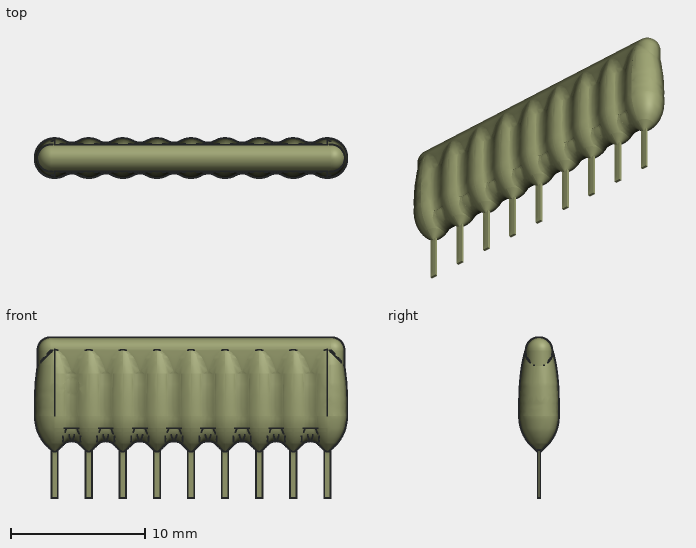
import cadquery as cq
import math


lead_count = 9
pitch = 2.54
lead_width = 0.5
lead_thickness = 0.2
lead_top = 6.0

overall_height = 12.0
slab_radius = 1.0
slab_length = 22.9

bead_tip_radius = 0.12
bead_tip_z = 3.45
bead_cone_radius = 0.73
bead_cone_z = 4.05
bead_radius = 1.5
belly_z = 6.12
bead_top_radius = 0.99
bead_top_z = 11.1
shoulder_points = 5

blend_radius = 1.0
blend_sections = 5
underside_sections = 7
underside_overlap = 0.01
shallowest_blend = 0.004
shallowest_end_blend = 0.015
joint_tolerance = 1e-5

mark_radius = 0.6
mark_z = 8.35
mark_depth = 1.0

first_lead_x = -pitch * (lead_count - 1) / 2
lead_positions = [first_lead_x + i * pitch for i in range(lead_count)]
slab_end_x = slab_length / 2 - slab_radius
slab_top_axis_z = overall_height - slab_radius
half_pitch = pitch / 2
ball_offset = slab_radius + blend_radius

meeting_radius = math.hypot(half_pitch, ball_offset) - blend_radius

belly_drop = bead_radius - bead_cone_radius
belly_height = belly_z - bead_cone_z
belly_arc_radius = (belly_drop**2 + belly_height**2) / (2 * belly_drop)
belly_arc_axis = bead_radius - belly_arc_radius

slab_bottom_axis_z = belly_z - math.sqrt(belly_arc_radius**2 - (meeting_radius - belly_arc_axis) ** 2)
slab_bottom = slab_bottom_axis_z - slab_radius

overhang = slab_end_x - lead_positions[-1]
shoulder_height = bead_top_z - belly_z
shoulder_drop = bead_radius - bead_top_radius


def shoulder_radius(z):
    """Bead radius above the belly, shrinking with the cube of the height."""
    return bead_radius - shoulder_drop * ((z - belly_z) / shoulder_height) ** 3


def shoulder_z(radius):
    """Height above the belly at which the bead has the given radius."""
    return belly_z + shoulder_height * ((bead_radius - radius) / shoulder_drop) ** (1 / 3)


def belly_radius(z):
    """Bead radius along the arc below the belly."""
    return belly_arc_axis + math.sqrt(belly_arc_radius**2 - (belly_z - z) ** 2)


def belly_arc_middle():
    """Middle point of the arc below the belly, in (radius, z)."""
    half_angle = math.asin(belly_height / belly_arc_radius) / 2
    z = belly_z - belly_arc_radius * math.sin(half_angle)
    return belly_radius(z), z


def spaced(start, end, count):
    return [start + (end - start) * i / (count - 1) for i in range(count)]


def make_bead():
    shoulder = [(-shoulder_radius(z), z) for z in spaced(belly_z, bead_top_z, shoulder_points)[1:]]
    middle_radius, middle_z = belly_arc_middle()
    end_slope = 3 * shoulder_drop / shoulder_height
    return (
        cq.Workplane("YZ")
        .moveTo(0, bead_tip_z)
        .lineTo(-bead_tip_radius, bead_tip_z)
        .lineTo(-bead_cone_radius, bead_cone_z)
        .threePointArc((-middle_radius, middle_z), (-bead_radius, belly_z))
        .spline(shoulder, tangents=[(0, 1), (end_slope, 1)], includeCurrent=True)
        .lineTo(0, bead_top_z)
        .close()
        .revolve(360, (0, 0, 0), (0, 1, 0))
    )


def make_slab_edge():
    """Rounded lower edge of the slab along one span."""
    return cq.Workplane("YZ", origin=(0, 0, slab_bottom_axis_z)).circle(slab_radius).extrude(pitch)


def make_slab_top():
    """Upper part of the slab, straight between its two round ends."""
    return (
        cq.Workplane("YZ", origin=(-slab_end_x, 0, 0))
        .moveTo(-slab_radius, belly_z)
        .lineTo(-slab_radius, slab_top_axis_z)
        .threePointArc((0, overall_height), (slab_radius, slab_top_axis_z))
        .lineTo(slab_radius, belly_z)
        .close()
        .extrude(2 * slab_end_x)
    )


def make_slab_end():
    """Half-round end of the slab beyond the last lead, with that lead at X = 0."""
    return (
        cq.Workplane("YZ")
        .moveTo(0, slab_bottom)
        .radiusArc((slab_radius, slab_bottom_axis_z), -slab_radius)
        .lineTo(slab_radius, slab_top_axis_z)
        .radiusArc((0, overall_height), -slab_radius)
        .close()
        .revolve(180, (0, 0, 0), (0, -1, 0))
        .translate((overhang, 0, 0))
    )


def concave_arc(center, start, end):
    """Arc of the blend radius about center, bulging into the part."""
    direction = ((start - center) + (end - center)).normalized()
    return cq.Edge.makeThreePointArc(start, center + direction * blend_radius, end)


def level_point(radius, angle, z):
    return cq.Vector(radius * math.cos(angle), radius * math.sin(angle), z)


def valley_wire(z, bead_r):
    """Level outline from one bead's axis to the next: quarter bead, blend, quarter bead."""
    reach = bead_r + blend_radius
    ball = cq.Vector(half_pitch, math.sqrt(reach**2 - half_pitch**2), z)
    blend_angle = math.acos(half_pitch / reach)
    angles = [math.pi / 2, (math.pi / 2 + blend_angle) / 2, blend_angle]
    first_arc = [level_point(bead_r, angle, z) for angle in angles]
    next_arc = [cq.Vector(pitch - point.x, point.y, z) for point in reversed(first_arc)]
    axis = cq.Vector(0, 0, z)
    next_axis = cq.Vector(pitch, 0, z)
    edges = [
        cq.Edge.makeLine(axis, first_arc[0]),
        cq.Edge.makeThreePointArc(*first_arc),
        concave_arc(ball, first_arc[-1], next_arc[0]),
        cq.Edge.makeThreePointArc(*next_arc),
        cq.Edge.makeLine(next_arc[-1], next_axis),
        cq.Edge.makeLine(next_axis, axis),
    ]
    return cq.Wire.assembleEdges(edges)


def flank_wire(z, bead_r):
    """Level outline of a quarter bead and its blend to the flat face of the slab."""
    reach = bead_r + blend_radius
    ball_x = math.sqrt(reach**2 - ball_offset**2)
    blend_angle = math.acos(ball_x / reach)
    angles = [math.pi / 2, (math.pi / 2 + blend_angle) / 2, blend_angle]
    bead_arc = [level_point(bead_r, angle, z) for angle in angles]
    axis = cq.Vector(0, 0, z)
    arc_end = cq.Vector(ball_x, slab_radius, z)
    back = cq.Vector(ball_x, 0, z)
    edges = [
        cq.Edge.makeLine(axis, bead_arc[0]),
        cq.Edge.makeThreePointArc(*bead_arc),
        concave_arc(cq.Vector(ball_x, ball_offset, z), bead_arc[-1], arc_end),
        cq.Edge.makeLine(arc_end, back),
        cq.Edge.makeLine(back, axis),
    ]
    return cq.Wire.assembleEdges(edges)


def end_wire(z, bead_r):
    """Blend from the last bead to the round end of the slab."""
    reach = bead_r + blend_radius
    ball_x = (reach**2 - ball_offset**2 + overhang**2) / (2 * overhang)
    ball = cq.Vector(ball_x, math.sqrt(reach**2 - ball_x**2), z)
    bead_axis = cq.Vector(0, 0, z)
    slab_axis = cq.Vector(overhang, 0, z)
    tangent = bead_axis + (ball - bead_axis).normalized() * bead_r
    arc_end = slab_axis + (ball - slab_axis).normalized() * slab_radius
    edges = [
        cq.Edge.makeLine(bead_axis, tangent),
        concave_arc(ball, tangent, arc_end),
        cq.Edge.makeLine(arc_end, slab_axis),
        cq.Edge.makeLine(slab_axis, bead_axis),
    ]
    return cq.Wire.assembleEdges(edges)


def underside_wire(angle):
    """Blend from a bead to the slab's round lower edge, at an angle about that edge's axis."""
    outward = cq.Vector(0, math.cos(angle), -math.sin(angle))
    edge_axis = cq.Vector(0, 0, slab_bottom_axis_z)
    ball_z = slab_bottom_axis_z - ball_offset * math.sin(angle)
    ball_y = ball_offset * math.cos(angle)
    ball_reach = math.sqrt((belly_arc_radius + blend_radius) ** 2 - (belly_z - ball_z) ** 2)
    touching_x = math.sqrt((belly_arc_axis + ball_reach) ** 2 - ball_y**2)
    ball_x = min(half_pitch, touching_x) - underside_overlap
    along = cq.Vector(ball_x, 0, 0)
    ball = edge_axis + along + outward * ball_offset
    toward_ball = cq.Vector(ball_x, ball_y, 0).normalized()
    belly_arc_center = cq.Vector(0, 0, belly_z) + toward_ball * belly_arc_axis
    tangent = ball + (belly_arc_center - ball).normalized() * blend_radius
    arc_end = edge_axis + along + outward * slab_radius
    back = edge_axis + along + outward * (slab_radius / 2)
    edges = [
        concave_arc(ball, tangent, arc_end),
        cq.Edge.makeLine(arc_end, back),
        cq.Edge.makeLine(back, tangent),
    ]
    return cq.Wire.assembleEdges(edges)


def loft(wires):
    return cq.Workplane(cq.Solid.makeLoft(wires))


def loft_levels(wire, radius_at, low_z, high_z):
    return loft([wire(z, radius_at(z)) for z in spaced(low_z, high_z, blend_sections)])


def mirror_to_next(half):
    """Mirror a shape about the plane midway to the next lead."""
    return half.mirror("YZ").translate((pitch, 0, 0))


def make_front():
    """Bead and blend surfaces of one span on the +Y side, above the slab's lower edge axis."""
    meeting_z = shoulder_z(meeting_radius)
    last_z = shoulder_z(slab_radius + shallowest_blend)
    lower = loft_levels(valley_wire, belly_radius, slab_bottom_axis_z, belly_z)
    middle = loft_levels(valley_wire, shoulder_radius, belly_z, meeting_z)
    upper = loft_levels(flank_wire, shoulder_radius, meeting_z, last_z)
    return lower.union(middle).union(upper).union(mirror_to_next(upper))


def make_underside():
    angles = spaced(0, math.pi, underside_sections)
    return loft([underside_wire(angle) for angle in angles])


def make_span(bead):
    """Coating between the axes of two neighbouring leads, the first at X = 0."""
    below_size = (half_pitch, 2 * pitch, slab_bottom_axis_z)
    below = cq.Workplane("XY").box(*below_size, centered=(False, True, False))
    half_bead = bead.intersect(below)
    front = make_front()
    underside = make_underside()
    return (
        front.union(front.mirror("XZ"))
        .union(half_bead)
        .union(mirror_to_next(half_bead))
        .union(make_slab_edge())
        .union(underside)
        .union(mirror_to_next(underside))
    )


def make_row_end(bead):
    """The +X half of the last bead with its blends to the slab's round end."""
    outer_size = (pitch, 2 * pitch, overall_height)
    outer_half = cq.Workplane("XY").box(*outer_size, centered=(False, True, False))
    low_z = shoulder_z(slab_radius + overhang - shallowest_end_blend)
    high_z = shoulder_z(math.hypot(overhang, ball_offset) - blend_radius)
    blend = loft_levels(end_wire, shoulder_radius, low_z, high_z)
    return (
        bead.intersect(outer_half)
        .union(make_slab_end())
        .union(blend)
        .union(blend.mirror("XZ"))
    )


def make_lead():
    return cq.Workplane("XY").rect(lead_width, lead_thickness).extrude(lead_top)


def outline_mark(span):
    """Split the front surface along the mark's edge without changing the shape."""
    plug = (
        cq.Workplane("XZ", origin=(half_pitch, -bead_radius + mark_depth, mark_z))
        .circle(mark_radius)
        .extrude(bead_radius)
    )
    return span.cut(plug, clean=False).union(span.intersect(plug, clean=False), clean=False)


def is_joint(face, joint_x):
    """Whether a face lies in the plane where a span meets its neighbour."""
    on_plane = abs(face.Center().x - joint_x) < joint_tolerance
    return on_plane and face.geomType() == "PLANE" and abs(face.normalAt().x) > 1 - joint_tolerance


def skin(span, joints):
    """Faces of a span without those on the given joint planes."""
    return [face for face in span.val().Faces() if not any(is_joint(face, x) for x in joints)]


def make_row(bead):
    """All spans as one solid, sewn from their skins, with flat ends at the outer leads."""
    plain_span = make_span(bead)
    faces = []
    for x in lead_positions[:-1]:
        span = plain_span
        joints = [0, pitch]
        if x == lead_positions[0]:
            span = outline_mark(plain_span)
            joints.remove(0)
        if x == lead_positions[-2]:
            joints.remove(pitch)
        faces += [face.translate(cq.Vector(x, 0, 0)) for face in skin(span, joints)]
    return cq.Workplane(cq.Solid.makeSolid(cq.Shell.makeShell(faces)))


bead = make_bead()
row_end = make_row_end(bead)
additions = [
    make_slab_top(),
    row_end.translate((lead_positions[-1], 0, 0)),
    row_end.mirror("YZ").translate((lead_positions[0], 0, 0)),
]
for x in lead_positions:
    additions.append(make_lead().translate((x, 0, 0)))

body = make_row(bead).val().fuse(*[piece.val() for piece in additions])
result = cq.Workplane(body.Solids()[0])